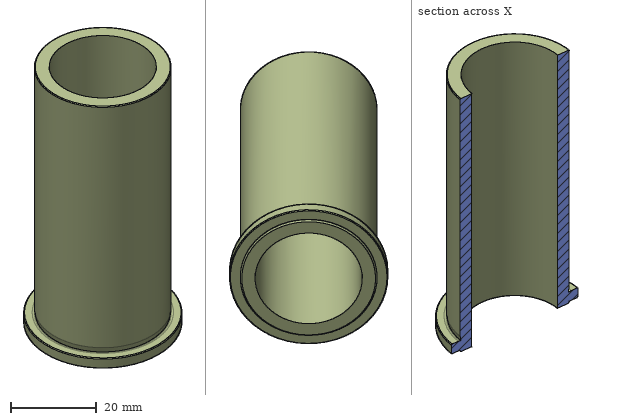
import cadquery as cq

total_height = 74.0
flange_diameter = 37.0
tube_diameter = 32.0
bore_diameter = 25.0

spigot_height = 0.5
flange_thickness = 2.95
edge_chamfer = 0.2
spigot_chamfer = 0.4

relief_length = 1.25
relief_depth = 0.2
relief_face_width = 0.5
relief_face_depth = 0.11

tube_radius = tube_diameter / 2
flange_top = spigot_height + flange_thickness


def cylinder(diameter, bottom, height):
    """Vertical cylinder centred on the Z axis."""
    return cq.Workplane("XY").workplane(offset=bottom).circle(diameter / 2).extrude(height)


def make_flange():
    flange = cylinder(flange_diameter, spigot_height, flange_thickness)
    return flange.faces("<Z or >Z").edges().chamfer(edge_chamfer)


def make_tube():
    tube = cylinder(tube_diameter, 0, total_height)
    tube = tube.faces(">Z").edges().chamfer(edge_chamfer)
    return tube.faces("<Z").edges().chamfer(spigot_chamfer)


def make_relief():
    """Ring with a tapered wall and floor that cuts slightly into both the tube and the flange face."""
    neck_radius = tube_radius - relief_depth
    floor_height = flange_top - relief_face_depth
    return (
        cq.Workplane("XZ")
        .moveTo(tube_radius, flange_top + relief_length)
        .lineTo(neck_radius, floor_height)
        .lineTo(tube_radius, floor_height)
        .lineTo(tube_radius + relief_face_width, flange_top)
        .lineTo(tube_radius, flange_top)
        .close()
        .revolve(360, (0, 0, 0), (0, 1, 0))
    )


bore = cylinder(bore_diameter, 0, total_height)
result = make_tube().union(make_flange()).cut(make_relief()).cut(bore)